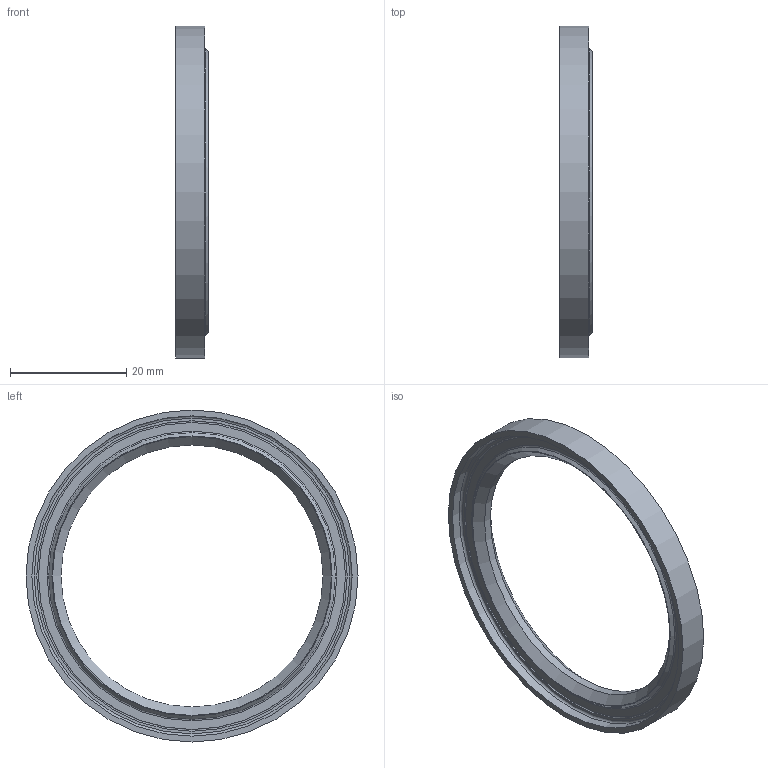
import cadquery as cq

outer_radius = 57.0 / 2
bore_radius = 45.0 / 2
body_width = 5.0

recess_radius = 55.0 / 2
recess_depth = 2.0
recess_fillet = 0.4

groove_centre_radius = 26.5
groove_half_width = 0.15

ridge_outer_radius = 24.05
ridge_crest_width = 0.1
ridge_height = 0.65
ridge_root_fillet = 0.4

ridge_inner_radius = ridge_outer_radius - ridge_crest_width
ridge_root_radius = ridge_outer_radius + ridge_height
bore_cone_length = ridge_inner_radius - bore_radius
front_crest_x = recess_depth - ridge_height
back_crest_x = body_width + ridge_height


def ring_profile():
    """Closed half section in the XY plane, listed as (x, radius)."""
    return (
        cq.Workplane("XY")
        .moveTo(0, recess_radius)
        .lineTo(0, outer_radius)
        .lineTo(body_width, outer_radius)
        .lineTo(body_width, ridge_root_radius)
        .lineTo(back_crest_x, ridge_outer_radius)
        .lineTo(back_crest_x, ridge_inner_radius)
        .lineTo(back_crest_x - bore_cone_length, bore_radius)
        .lineTo(front_crest_x + bore_cone_length, bore_radius)
        .lineTo(front_crest_x, ridge_inner_radius)
        .lineTo(front_crest_x, ridge_outer_radius)
        .lineTo(recess_depth, ridge_root_radius)
        .lineTo(recess_depth, groove_centre_radius - groove_half_width)
        .threePointArc(
            (recess_depth + groove_half_width, groove_centre_radius),
            (recess_depth, groove_centre_radius + groove_half_width),
        )
        .lineTo(recess_depth, recess_radius)
        .close()
    )


def fillet_circle(solid, x, radius, fillet_radius):
    """Round the circular edge of the given radius in the plane at x."""
    tolerance = 0.01
    reach = radius + tolerance
    slab = cq.selectors.BoxSelector(
        (x - tolerance, -reach, -reach),
        (x + tolerance, reach, reach),
        boundingbox=True,
    )
    largest = cq.selectors.RadiusNthSelector(-1)
    return solid.edges(slab).edges("%CIRCLE").edges(largest).fillet(fillet_radius)


axis_start = (0, 0, 0)
axis_end = (1, 0, 0)
result = ring_profile().revolve(360, axis_start, axis_end)
result = fillet_circle(result, recess_depth, recess_radius, recess_fillet)
for root_x in (recess_depth, body_width):
    result = fillet_circle(result, root_x, ridge_root_radius, ridge_root_fillet)